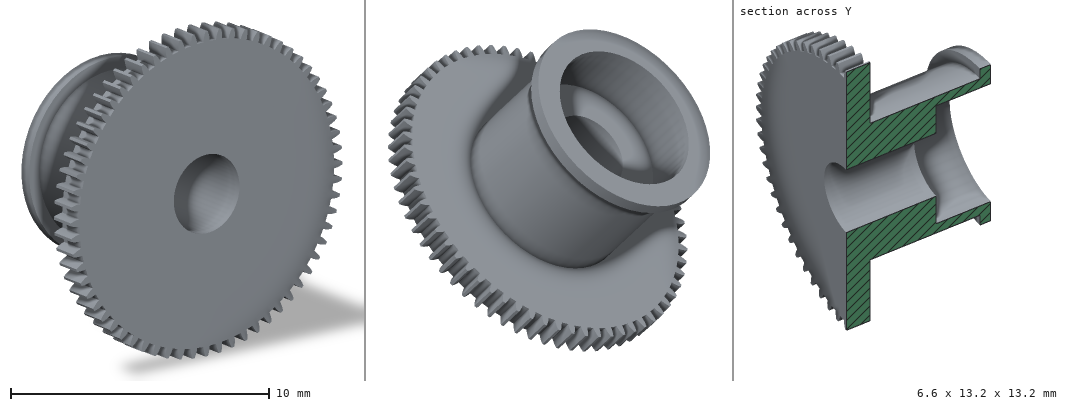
import cadquery as cq
import math

total_length = 6.6
flange_thickness = 0.5
gear_thickness = 1.1
counterbore_depth = 2.5

flange_diameter = 8.0
hub_diameter = 7.0
counterbore_diameter = 6.0
bore_diameter = 3.2

tooth_count = 64
tip_radius = 6.6
root_radius = 6.19
tooth_root_thickness = 0.3
tooth_mid_thickness = 0.25
tooth_tip_thickness = 0.12

mid_radius = (root_radius + tip_radius) / 2
tooth_pitch_angle = 2 * math.pi / tooth_count


def polar(radius, angle):
    """Point on the gear face at the given radius and angle."""
    return (radius * math.cos(angle), radius * math.sin(angle))


def half_angle(thickness, radius):
    """Half of the angle that a chord of this length spans at this radius."""
    return math.asin(thickness / (2 * radius))


def cylinder(diameter, start, length):
    """Solid cylinder on the X axis, beginning at X = start."""
    return cq.Workplane("YZ", origin=(start, 0, 0)).circle(diameter / 2).extrude(length)


def make_gear():
    """Toothed disc with curved tooth flanks at the far end of the hub."""
    root_half = half_angle(tooth_root_thickness, root_radius)
    mid_half = half_angle(tooth_mid_thickness, mid_radius)
    tip_half = half_angle(tooth_tip_thickness, tip_radius)

    outline = cq.Workplane("YZ", origin=(total_length - gear_thickness, 0, 0))
    outline = outline.moveTo(*polar(root_radius, -root_half))
    for tooth in range(tooth_count):
        center = tooth * tooth_pitch_angle
        gap_center = center + tooth_pitch_angle / 2
        next_root = center + tooth_pitch_angle - root_half
        outline = (
            outline
            .threePointArc(polar(mid_radius, center - mid_half), polar(tip_radius, center - tip_half))
            .threePointArc(polar(tip_radius, center), polar(tip_radius, center + tip_half))
            .threePointArc(polar(mid_radius, center + mid_half), polar(root_radius, center + root_half))
            .threePointArc(polar(root_radius, gap_center), polar(root_radius, next_root))
        )
    return outline.close().extrude(gear_thickness)


hub = cylinder(hub_diameter, 0, total_length)
flange = cylinder(flange_diameter, 0, flange_thickness)
body = make_gear().union(hub).union(flange)

bore = cylinder(bore_diameter, 0, total_length)
counterbore = cylinder(counterbore_diameter, 0, counterbore_depth)
result = body.cut(bore).cut(counterbore)